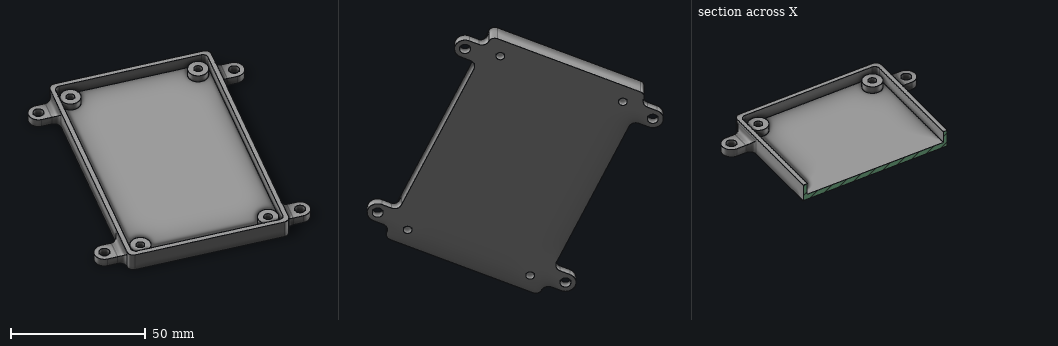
import cadquery as cq

length = 98.3
width = 63.3
height = 7.6
corner_radius = 2.5
wall = 1.9
floor = 2.6
cavity_corner_radius = 2.0

standoff_diameter = 8.0
standoff_hole_diameter = 3.2
standoff_height = 3.0
standoff_spacing_x = 84.9
standoff_spacing_y = 50.0

overall_width = 84.6
ear_width = 8.0
ear_thickness = 3.5
ear_hole_diameter = 4.0
ear_spacing_x = 80.0
ear_fillet = 2.8
ear_radius = ear_width / 2
ear_spacing_y = overall_width - ear_width
ear_overlap = wall / 2


def centered_block(size_x, size_y, size_z, radius):
    """Plate standing on Z = 0 with rounded vertical corners."""
    block = cq.Workplane("XY").box(size_x, size_y, size_z, centered=(True, True, False))
    return block.edges("|Z").fillet(radius)


def make_tray():
    """Open tray with a flat floor and rounded corners."""
    body = centered_block(length, width, height, corner_radius)
    cavity = centered_block(
        length - 2 * wall, width - 2 * wall, height, cavity_corner_radius
    )
    return body.cut(cavity.translate((0, 0, floor)))


def make_ear_flare():
    """Concave flare whose top and sides sweep out to meet the wall, mitred at the corners."""
    flare_half_width = ear_radius + ear_fillet
    flare_top = ear_thickness + ear_fillet
    wall_y = width / 2
    tip_y = wall_y + ear_fillet
    root_y = wall_y - ear_overlap

    plan = (
        cq.Workplane("XY")
        .moveTo(-flare_half_width, root_y)
        .lineTo(-flare_half_width, wall_y)
        .radiusArc((-ear_radius, tip_y), -ear_fillet)
        .lineTo(ear_radius, tip_y)
        .radiusArc((flare_half_width, wall_y), -ear_fillet)
        .lineTo(flare_half_width, root_y)
        .close()
        .extrude(flare_top)
    )
    profile = (
        cq.Workplane("YZ")
        .moveTo(root_y, 0)
        .lineTo(tip_y, 0)
        .lineTo(tip_y, ear_thickness)
        .radiusArc((wall_y, flare_top), ear_fillet)
        .lineTo(root_y, flare_top)
        .close()
        .extrude(flare_half_width, both=True)
    )
    return plan.intersect(profile)


def make_ear():
    """Round-ended ear on the +Y wall, centred on X = 0."""
    hole_y = ear_spacing_y / 2
    root_y = width / 2 - ear_overlap
    tab = (
        cq.Workplane("XY")
        .moveTo(-ear_radius, root_y)
        .lineTo(-ear_radius, hole_y)
        .threePointArc((0, overall_width / 2), (ear_radius, hole_y))
        .lineTo(ear_radius, root_y)
        .close()
        .extrude(ear_thickness)
    )
    hole = cq.Workplane("XY").center(0, hole_y).circle(ear_hole_diameter / 2).extrude(height)
    return tab.union(make_ear_flare()).cut(hole)


def add_ears(part):
    """Place one ear near each end of both long walls."""
    ear = make_ear()
    for side_ear in (ear, ear.mirror("XZ")):
        for x in (-ear_spacing_x / 2, ear_spacing_x / 2):
            part = part.union(side_ear.translate((x, 0, 0)))
    return part


def add_standoffs(part):
    """Add four standoffs, each drilled through the floor."""
    centers = cq.Workplane("XY").rarray(standoff_spacing_x, standoff_spacing_y, 2, 2)
    top = floor + standoff_height
    posts = centers.circle(standoff_diameter / 2).extrude(top)
    holes = centers.circle(standoff_hole_diameter / 2).extrude(top)
    return part.union(posts).cut(holes)


result = add_standoffs(add_ears(make_tray()))